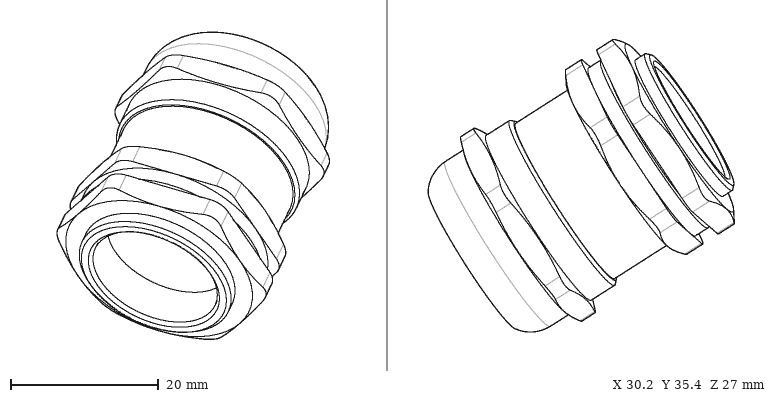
import cadquery as cq
import math

TOTAL_LENGTH = 35.4

THREAD_DIAMETER = 22.0
BORE_DIAMETER = 18.0
BORE_DEPTH = 6.02
EDGE_CHAMFER = 0.5

ACROSS_FLATS = 27.0
HEX_LENGTH = 3.5
CORNER_RADIUS = 3.0
NUT_CHAMFER_ANGLE = 30
CAP_CHAMFER_ANGLE = 20

NUT_START = 2.02
NUT_GAP = 0.5
COLLAR_START = NUT_START + HEX_LENGTH + NUT_GAP
COLLAR_LENGTH = 2.02
BODY_HEX_START = COLLAR_START + COLLAR_LENGTH
BODY_DIAMETER = 25.0

CAP_START = 20.45
CAP_DIAMETER = 26.5
CAP_HEX_START = 24.75
DOME_LENGTH = 4.07
DOME_RADIUS = 5.0


def hexagon(start, front_cone=None, back_cone=None):
    """Rounded hexagon with flats at +/-Z; each cone is (face diameter, angle in degrees)."""
    corner_diameter = ACROSS_FLATS / math.cos(math.radians(30))
    prism = (
        cq.Workplane("XZ", origin=(0, start, 0))
        .polygon(6, corner_diameter)
        .extrude(-HEX_LENGTH)
        .edges("|Y")
        .fillet(CORNER_RADIUS)
    )

    outer = corner_diameter / 2
    end = start + HEX_LENGTH
    envelope = cq.Workplane("XY").moveTo(0, start)
    if front_cone:
        face_radius = front_cone[0] / 2
        drop = (outer - face_radius) * math.tan(math.radians(front_cone[1]))
        envelope = envelope.lineTo(face_radius, start).lineTo(outer, start + drop)
    else:
        envelope = envelope.lineTo(outer, start)
    if back_cone:
        face_radius = back_cone[0] / 2
        drop = (outer - face_radius) * math.tan(math.radians(back_cone[1]))
        envelope = envelope.lineTo(outer, end - drop).lineTo(face_radius, end)
    else:
        envelope = envelope.lineTo(outer, end)
    envelope = envelope.lineTo(0, end).close().revolve(360, (0, 0, 0), (0, 1, 0))
    return prism.intersect(envelope)


def round_profile():
    """Turned shape: thread, collar, body and domed cap, without hexagons or bore."""
    thread_radius = THREAD_DIAMETER / 2
    collar_radius = ACROSS_FLATS / 2
    body_radius = BODY_DIAMETER / 2
    cap_radius = CAP_DIAMETER / 2
    dome_start = TOTAL_LENGTH - DOME_LENGTH

    dome_sweep = math.asin(DOME_LENGTH / DOME_RADIUS)
    dome_center = cap_radius - DOME_RADIUS

    def dome_point(angle):
        return (
            dome_center + DOME_RADIUS * math.cos(angle),
            dome_start + DOME_RADIUS * math.sin(angle),
        )

    return (
        cq.Workplane("XY")
        .lineTo(thread_radius - EDGE_CHAMFER, 0)
        .lineTo(thread_radius, EDGE_CHAMFER)
        .lineTo(thread_radius, COLLAR_START)
        .lineTo(collar_radius, COLLAR_START)
        .lineTo(collar_radius, BODY_HEX_START)
        .lineTo(body_radius, BODY_HEX_START)
        .lineTo(body_radius, CAP_START)
        .lineTo(cap_radius - EDGE_CHAMFER, CAP_START)
        .lineTo(cap_radius, CAP_START + EDGE_CHAMFER)
        .lineTo(cap_radius, dome_start)
        .threePointArc(dome_point(dome_sweep / 2), dome_point(dome_sweep))
        .lineTo(0, TOTAL_LENGTH)
        .close()
        .revolve(360, (0, 0, 0), (0, 1, 0))
    )


def bore():
    """Blind bore with a chamfered mouth."""
    radius = BORE_DIAMETER / 2
    return (
        cq.Workplane("XY")
        .lineTo(radius + EDGE_CHAMFER, 0)
        .lineTo(radius, EDGE_CHAMFER)
        .lineTo(radius, BORE_DEPTH)
        .lineTo(0, BORE_DEPTH)
        .close()
        .revolve(360, (0, 0, 0), (0, 1, 0))
    )


nut_cone = (ACROSS_FLATS, NUT_CHAMFER_ANGLE)
cap_cone = (CAP_DIAMETER, CAP_CHAMFER_ANGLE)

lock_nut = hexagon(NUT_START, front_cone=nut_cone)
body_hex = hexagon(BODY_HEX_START, back_cone=nut_cone)
cap_hex = hexagon(CAP_HEX_START, front_cone=cap_cone, back_cone=cap_cone)

result = round_profile().union(lock_nut).union(body_hex).union(cap_hex).cut(bore())